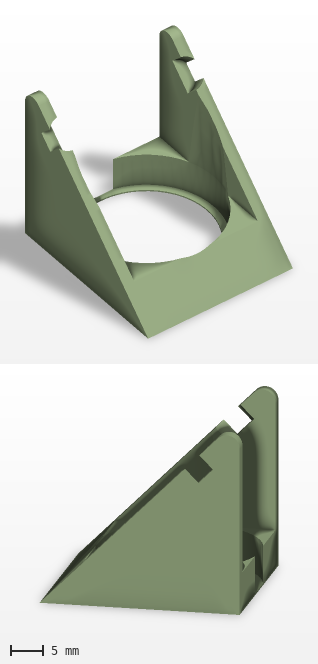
import cadquery as cq
import math

length = 31.08
width = 27.5
tip_radius = 2.0
slope_angle = 45.0

wall = 2.0
floor_top = 6.2

hole_diameter = 23.0
lip_thickness = 0.25
seat_diameter = 25.5
seat_center_x = 12.4

taper_height = 25.0

pocket_diameter = 5.5
pocket_depth = 3.0
pocket_spacing = 23.0
pocket_center_x = 7.38

mid_y = width / 2


def make_body():
    """Triangular prism with its upper tip rounded tangent to the back and the slope."""
    tip_center_z = length - tip_radius * (1 + math.sqrt(2))

    def tip_point(angle):
        radians = math.radians(angle)
        return (
            tip_radius + tip_radius * math.cos(radians),
            tip_center_z + tip_radius * math.sin(radians),
        )

    back_angle = 180.0
    return (
        cq.Workplane("XZ", origin=(0, width, 0))
        .lineTo(length, 0)
        .lineTo(*tip_point(slope_angle))
        .threePointArc(tip_point((slope_angle + back_angle) / 2), tip_point(back_angle))
        .close()
        .extrude(width)
    )


def make_channel():
    """Space between the side walls, open at the back and through the slope."""
    return (
        cq.Workplane("XY", origin=(0, wall, floor_top))
        .box(length, width - 2 * wall, length, centered=False)
    )


def seat_plane(z):
    """Horizontal workplane on the seat axis at height z."""
    return cq.Workplane("XY", origin=(seat_center_x, mid_y, z))


def make_seat():
    """Cylindrical seat in the floor, continued upwards as a narrowing cone."""
    cylinder = (
        seat_plane(lip_thickness)
        .circle(seat_diameter / 2)
        .extrude(floor_top - lip_thickness)
    )
    cone = (
        seat_plane(floor_top)
        .circle(seat_diameter / 2)
        .workplane(offset=taper_height)
        .circle(hole_diameter / 2)
        .loft()
    )
    return cylinder.union(cone)


def make_hole():
    """Through hole that leaves the lip under the seat."""
    return seat_plane(0).circle(hole_diameter / 2).extrude(floor_top)


def make_pocket(y):
    """Flat-bottomed round pocket square to the slope, centred at the given y."""
    slope_plane = cq.Plane(
        origin=(pocket_center_x, y, length - pocket_center_x),
        xDir=(0, 1, 0),
        normal=(1, 0, 1),
    )
    return cq.Workplane(slope_plane).circle(pocket_diameter / 2).extrude(-pocket_depth)


result = make_body().cut(make_channel()).cut(make_seat()).cut(make_hole())
for side in (-1, 1):
    result = result.cut(make_pocket(mid_y + side * pocket_spacing / 2))